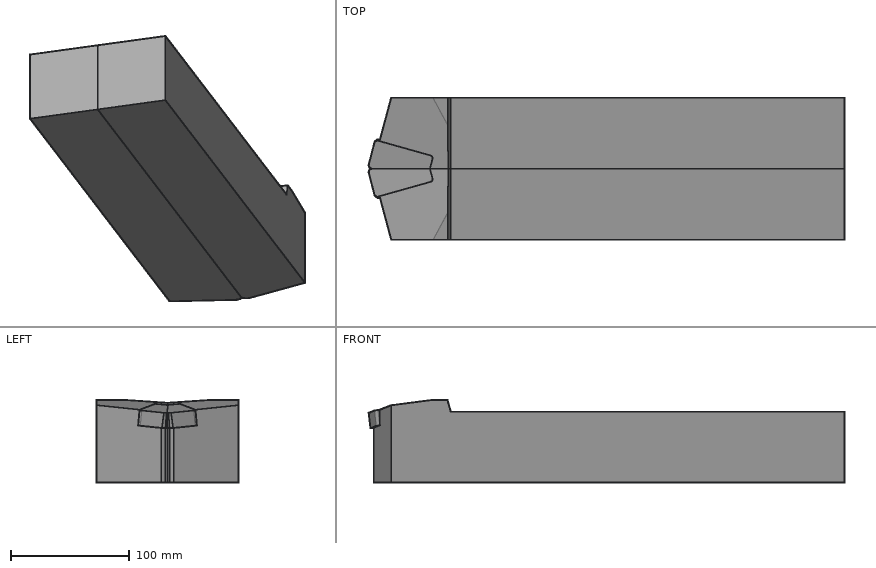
import cadquery as cq
import math

length = 402.0
width = 120.0
half_width = width / 2
head_height = 70.0
shank_height = 60.0
lead = math.tan(math.radians(15))

rake_height = 58.5
rake_rise_x = 0.13
rake_rise_y = 0.07

holder_front_x = 4.5
holder_nose_y = 5.2
holder_relief_y = 1.8
relief_depth = 2.0
step_top_x = 66.5
step_foot_x = 69.5

insert_thickness = 13.3
clearance = 1.5
nose_y = 3.0
tip_height = rake_height + rake_rise_y * nose_y
nose_spread = 1.8
inner_relief_y = 1.0
inner_spread = 1.0
corner_y = 24.5
side_spread = 1.2
back_x = 52.0
corner_radius = 2.5
blank_bottom = 42.0
blank_top = 68.5


def rake_z(x, y):
    """Height of the rake face."""
    return rake_height + rake_rise_x * x + rake_rise_y * y


def below_rake(drop):
    """Solid region below the rake face lowered by drop."""
    rear_x = 2 * step_foot_x
    front_x = -step_foot_x
    side_y = 2 * half_width

    def section(y):
        points = [
            (front_x, y, -head_height),
            (rear_x, y, -head_height),
            (rear_x, y, rake_z(rear_x, y) - drop),
            (front_x, y, rake_z(front_x, y) - drop),
        ]
        return cq.Wire.makePolygon([cq.Vector(*p) for p in points], close=True)

    return cq.Workplane(cq.Solid.makeLoft([section(0), section(side_y)], True))


def nose_outline(front_x, nose, inner):
    """Nose points: centre plane, inner relief edge and nose tip."""
    shoulder_x = front_x + lead * (nose - inner)
    return [(shoulder_x + relief_depth, 0), (shoulder_x, inner), (front_x, nose)]


def insert_outline(z):
    """Cross-section wire of the uncut insert at height z."""
    depth = (tip_height - z) / insert_thickness
    front_x = clearance * depth
    nose = nose_y + nose_spread * depth
    inner = inner_relief_y + inner_spread * depth
    front_corner_y = corner_y + side_spread * depth
    front_corner_x = front_x + lead * (front_corner_y - nose)
    back_y = (front_corner_y - lead * (back_x - front_corner_x)) / (1 + lead**2)
    points = nose_outline(front_x, nose, inner) + [
        (front_corner_x, front_corner_y),
        (back_x + lead * back_y, back_y),
        (back_x, 0),
    ]
    return cq.Wire.makePolygon([cq.Vector(x, y, z) for x, y in points], close=True)


def make_insert():
    """Cutting insert on the +Y side, flush with the rake face."""
    wires = [insert_outline(blank_bottom), insert_outline(blank_top)]
    blank = cq.Workplane(cq.Solid.makeLoft(wires, True))
    middle_z = (blank_bottom + blank_top) / 2
    back_corner = (back_x, corner_y / 2, middle_z)
    front_corner = (0, corner_y, middle_z)
    for corner in (front_corner, back_corner):
        blank = blank.edges(cq.NearestToPointSelector(corner)).fillet(corner_radius)
    return blank.intersect(below_rake(0)).cut(below_rake(insert_thickness))


def make_holder(insert):
    """Tool holder on the +Y side, with a pocket fitting the insert."""
    front_side_x = holder_front_x + lead * (half_width - holder_nose_y)
    plan = nose_outline(holder_front_x, holder_nose_y, holder_relief_y) + [
        (front_side_x, half_width),
        (length, half_width),
        (length, 0),
    ]
    profile = [
        (0, 0),
        (length, 0),
        (length, shank_height),
        (step_foot_x, shank_height),
        (step_top_x, head_height),
        (0, head_height),
    ]
    holder = cq.Workplane().polyline(plan).close().extrude(head_height)
    side = cq.Workplane("XZ").polyline(profile).close().extrude(-half_width)
    holder = holder.intersect(side)
    head = cq.Workplane().box(step_foot_x, half_width, head_height, centered=False)
    above_rake = head.cut(below_rake(0))
    return holder.cut(above_rake).cut(insert)


bodies = []
insert = make_insert()
holder = make_holder(insert)
for body in (holder, insert):
    bodies.append(body.solids().val())
    bodies.append(body.mirror("XZ").solids().val())

result = cq.Compound.makeCompound(bodies)